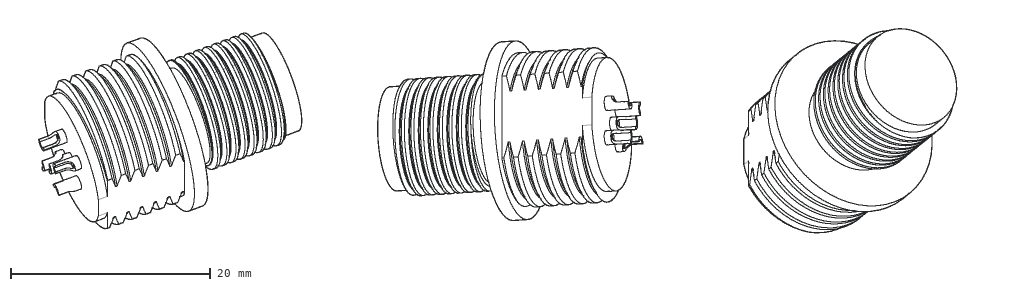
import cadquery as cq
import math


nose_length = 1.8
front_thread_length = 8.2
neck_length = 2.0
flange_thickness = 1.5
rear_thread_length = 8.5
collar_length = 1.0
pin_length = 2.5

flange_diameter = 18.0
nose_diameter = 10.5
neck_diameter = 10.2
collar_diameter = 13.45

front_major_diameter = 11.78
front_root_diameter = 10.75
front_turns = 8.2
front_pitch = front_thread_length / front_turns
front_root_flat = 0.1
front_groove_offset = 0.13

rear_major_diameter = 15.58
rear_root_diameter = 14.13
rear_turns = 5.67
rear_pitch = rear_thread_length / rear_turns
rear_root_flat = 0.18
rear_groove_offset = 0.9
across_flats = 13.13

thread_half_angle = 30.0
groove_overshoot = 0.03

pin_diameter = 1.43
cup_bore_diameter = 0.8
cup_length = 1.8
cup_floor_offset = 0.09
pin_circle_radius = 2.5

rear_thread_end = -rear_thread_length
rear_face = rear_thread_end - collar_length
neck_start = flange_thickness
front_thread_start = neck_start + neck_length
nose_start = front_thread_start + front_thread_length


def disc(diameter, start, length):
    """A cylinder about Y, from Y = start to Y = start + length."""
    outline = cq.Workplane("YZ").rect(length, diameter / 2, centered=False)
    return outline.revolve(360, (0, 0, 0), (1, 0, 0)).translate((0, start, 0))


def thread_groove(major_diameter, root_diameter, pitch, root_flat, offset, length):
    """A left-handed helical groove about Y, ending flush with both ends of a thread that starts at Y = 0."""
    root_radius = root_diameter / 2
    outer_radius = major_diameter / 2 + groove_overshoot
    root_half = root_flat / 2
    outer_half = root_half + (outer_radius - root_radius) * math.tan(math.radians(thread_half_angle))
    path = cq.Wire.makeHelix(pitch, length + 2 * pitch, root_radius, lefthand=True)
    section = cq.Workplane("XZ").polyline([
        (root_radius, -root_half),
        (root_radius, root_half),
        (outer_radius, outer_half),
        (outer_radius, -outer_half),
    ]).close()
    groove = section.sweep(cq.Workplane(path), isFrenet=True)
    groove = groove.rotate((0, 0, 0), (1, 0, 0), -90).translate((0, offset - pitch, 0))
    return groove.intersect(disc(2 * major_diameter, 0, length))


def threaded_barrel(major_diameter, root_diameter, pitch, root_flat, offset, length):
    """A threaded cylinder about Y that starts at Y = 0."""
    groove = thread_groove(major_diameter, root_diameter, pitch, root_flat, offset, length)
    return disc(major_diameter, 0, length).cut(groove)


def make_housing():
    front_thread = threaded_barrel(
        front_major_diameter, front_root_diameter, front_pitch,
        front_root_flat, front_groove_offset, front_thread_length,
    ).translate((0, front_thread_start, 0))

    rear_thread = threaded_barrel(
        rear_major_diameter, rear_root_diameter, rear_pitch,
        rear_root_flat, rear_groove_offset, rear_thread_length,
    ).translate((0, rear_thread_end, 0))

    flats_envelope = cq.Workplane("XY").box(across_flats, -rear_face, flange_diameter)
    flats_envelope = flats_envelope.translate((0, rear_face / 2, 0))
    rear_end = rear_thread.union(disc(collar_diameter, rear_face, collar_length))
    rear_end = rear_end.intersect(flats_envelope)

    return (
        rear_end
        .union(disc(flange_diameter, 0, flange_thickness))
        .union(disc(neck_diameter, neck_start, neck_length))
        .union(front_thread)
        .union(disc(nose_diameter, nose_start, nose_length))
    )


def make_pin(x, z, opening_angle):
    """A solder-cup pin on the rear face. Its cup opens to +Z, turned about Y by opening_angle."""
    tip = -pin_length
    opening_start = tip + cup_length
    pin_radius = pin_diameter / 2
    curve_radius = pin_radius + cup_floor_offset
    curve_centre_y = opening_start - curve_radius
    curve_reach = curve_radius * math.sqrt(0.5)
    opening = (
        cq.Workplane("YZ")
        .moveTo(tip, -cup_floor_offset)
        .lineTo(curve_centre_y, -cup_floor_offset)
        .threePointArc((curve_centre_y + curve_reach, pin_radius - curve_reach), (opening_start, pin_radius))
        .lineTo(tip, pin_radius)
        .close()
        .extrude(pin_radius, both=True)
    )
    pin = disc(pin_diameter, tip, pin_length).cut(disc(cup_bore_diameter, tip, cup_length)).cut(opening)
    return pin.rotate((0, 0, 0), (0, 1, 0), opening_angle).translate((x, rear_face, z))


housing = make_housing()

pin_offset = pin_circle_radius * math.sqrt(0.5)
open_up, open_right, open_down, open_left = 0, 90, 180, 270
pin_layout = [
    (0, 0, open_left),
    (-pin_offset, pin_offset, open_up),
    (pin_offset, pin_offset, open_right),
    (-pin_offset, -pin_offset, open_left),
    (pin_offset, -pin_offset, open_down),
]
pins = [make_pin(x, z, opening_angle) for x, z, opening_angle in pin_layout]

result = cq.Compound.makeCompound([housing.val(), *[pin.val() for pin in pins]])